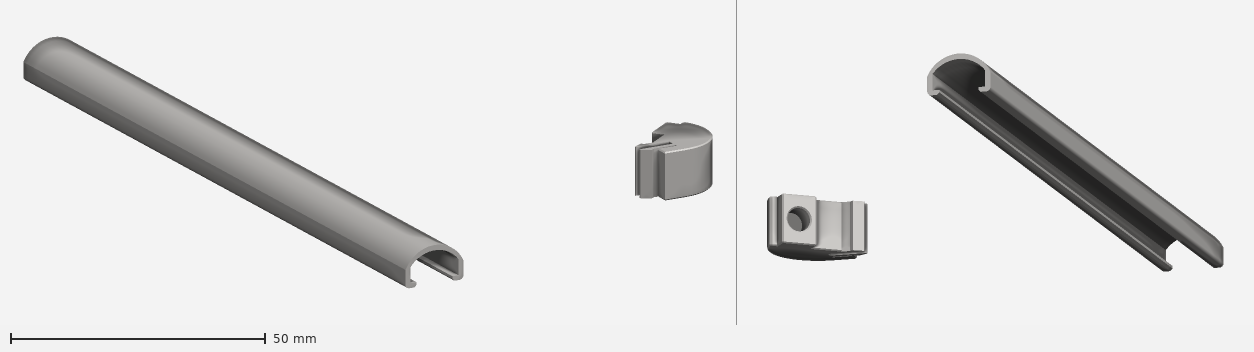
import cadquery as cq
import math

rail_length = 155.0
rail_width = 13.0
rail_height = 8.05
rail_wall = 1.1
outer_side_height = 3.9
inner_side_height = 4.3
lip_width = 2.5
lip_thickness = 1.0
rail_corner_radius = 0.9
lip_chamfer = 0.5

cap_height = 10.0
cap_bottom = 2.01
cap_radius = 10.0
cap_x = 125.0
cap_y = 67.59
edge_chamfer = 0.25
skirt_bottom = -4.85

plug_angle = 127.7
plug_start = 1.25
plug_end = 8.55
plug_face = 2.8
ledge_inset = 0.2
ledge_corner = 0.5
plug_corner = 0.3
hole_position = 5.0
hole_diameter = 4.7
hole_chamfer = 0.3
hole_depth = 4.7

clip_axis = 5.05
clip_half_width = 1.8
clip_slot = 1.5
relief_width = 0.5
clip_root = -0.7
clip_shoulder = -3.85
barb_top = -5.5
barb_edge = -6.3
clip_tip = -8.2
barb_reach = 0.5
tip_half_width = 1.15


def make_rail():
    half = rail_width / 2
    inner = half - rail_wall
    lip_edge = half - lip_width
    inner_top = rail_height - rail_wall
    profile = (
        cq.Workplane("YZ")
        .moveTo(-half, 0)
        .lineTo(-half, outer_side_height)
        .threePointArc((0, rail_height), (half, outer_side_height))
        .lineTo(half, 0)
        .lineTo(lip_edge + lip_chamfer, 0)
        .lineTo(lip_edge, lip_chamfer)
        .lineTo(lip_edge, lip_thickness)
        .lineTo(inner, lip_thickness)
        .lineTo(inner, inner_side_height)
        .threePointArc((0, inner_top), (-inner, inner_side_height))
        .lineTo(-inner, lip_thickness)
        .lineTo(-lip_edge, lip_thickness)
        .lineTo(-lip_edge, lip_chamfer)
        .lineTo(-lip_edge - lip_chamfer, 0)
        .close()
    )
    rail = profile.extrude(rail_length)
    bottom_corners = rail.edges("|X").edges("<Y or >Y").edges("<Z")
    return bottom_corners.fillet(rail_corner_radius)


def plug_point(along_face, outward):
    """Point given in the plug arm's frame: distance along its face and distance outward."""
    angle = math.radians(plug_angle)
    return (
        along_face * math.cos(angle) - outward * math.sin(angle),
        along_face * math.sin(angle) + outward * math.cos(angle),
    )


def make_knuckle():
    """Knuckle and plug, with both rims broken and no clip openings yet."""
    arc_mid = math.radians(plug_angle / 2)
    arc_end_inset = ledge_inset + ledge_corner
    arc_end = math.sqrt(cap_radius**2 - arc_end_inset**2)
    inner_x = clip_shoulder / math.tan(math.radians(plug_angle))
    clip_left = clip_axis - clip_half_width
    return (
        cq.Workplane("XY")
        .moveTo(cap_radius, skirt_bottom)
        .lineTo(cap_radius, 0)
        .threePointArc(
            (cap_radius * math.cos(arc_mid), cap_radius * math.sin(arc_mid)),
            plug_point(arc_end, -arc_end_inset),
        )
        .lineTo(*plug_point(arc_end - ledge_corner, -ledge_inset))
        .lineTo(*plug_point(plug_end, -ledge_inset))
        .lineTo(*plug_point(plug_end, plug_face - plug_corner))
        .lineTo(*plug_point(plug_end - plug_corner, plug_face))
        .lineTo(*plug_point(plug_start + plug_corner, plug_face))
        .lineTo(*plug_point(plug_start, plug_face - plug_corner))
        .lineTo(*plug_point(plug_start, 0))
        .lineTo(inner_x, clip_shoulder)
        .lineTo(clip_left, clip_shoulder)
        .lineTo(clip_left, skirt_bottom)
        .close()
        .extrude(cap_height)
        .faces("<Z or >Z")
        .chamfer(edge_chamfer)
    )


def make_clip_window():
    """Opening in the knuckle that holds both prongs, their slot and the relief gap."""
    width = 2 * clip_half_width + relief_width
    depth = clip_root - clip_tip
    return (
        cq.Workplane("XY")
        .box(width, depth, cap_height, centered=False)
        .translate((clip_axis - clip_half_width, clip_tip, 0))
    )


def make_prong(side):
    """One barbed prong; side is -1 for the inner prong and +1 for the outer one."""
    profile = [
        (clip_slot / 2, clip_root),
        (clip_half_width, clip_root),
        (clip_half_width, barb_top),
        (clip_half_width + barb_reach, barb_edge),
        (tip_half_width, clip_tip),
        (clip_slot / 2, clip_tip),
    ]
    points = [(clip_axis + side * offset, y) for offset, y in profile]
    return cq.Workplane("XY").polyline(points).close().extrude(cap_height)


def make_plug_hole():
    """Blind hole in the plug's end face, with a chamfered mouth."""
    radius = hole_diameter / 2
    start = cq.Vector(*plug_point(hole_position, plug_face), cap_height / 2)
    inward = cq.Vector(*plug_point(0, -1), 0)
    bore = cq.Solid.makeCylinder(radius, hole_depth, start, inward)
    mouth = cq.Solid.makeCone(radius + hole_chamfer, radius, hole_chamfer, start, inward)
    return cq.Workplane(bore).union(cq.Workplane(mouth))


def make_cap():
    cap = make_knuckle().cut(make_clip_window())
    for side in (-1, 1):
        cap = cap.union(make_prong(side))
    cap = cap.cut(make_plug_hole())
    return cap.translate((cap_x, cap_y, cap_bottom))


rail = make_rail()
cap = make_cap()
result = cq.Compound.makeCompound([rail.val(), *cap.solids().vals()])